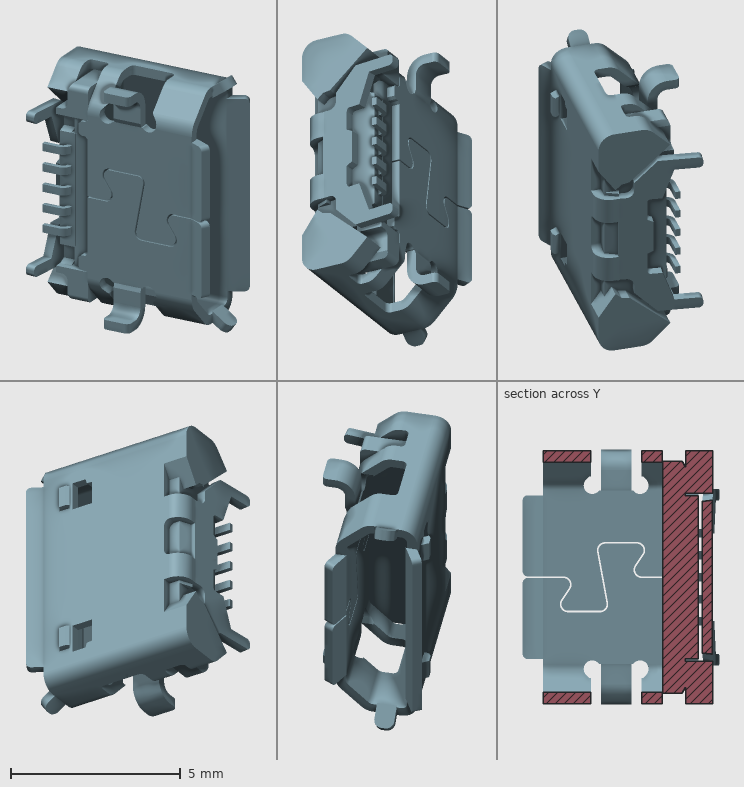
import cadquery as cq
import math


CLEAR = 0.08
OVERLAP = 0.01

SHEET = 0.3
SHELL_LENGTH = 5.015
SHELL_DEPTH = 2.46
HALF_HEIGHT = 3.75
OVERALL_HEIGHT = 8.09
BACK_RADIUS = 0.485
SLOPE_START = (1.53, HALF_HEIGHT)
SLOPE_END = (SHELL_DEPTH, 2.84)
SIDE_CORNER_RADIUS = 0.5
FRONT_CORNER_RADIUS = 0.6
BACK_PLATE_START = 0.785
FRONT_PLATE_START = 1.5

LOBE_LENGTH = 0.81
SLOPE_GRADE = (SLOPE_START[1] - SLOPE_END[1]) / (SLOPE_END[0] - SLOPE_START[0])
LOBE_TIP_DEPTH = 2.2
LOBE_TIP_HEIGHT = HALF_HEIGHT - SLOPE_GRADE * (LOBE_TIP_DEPTH - SLOPE_START[0])

BODY_START = 0.43
BODY_FACE = 2.2
BODY_HALF_HEIGHT = 2.41
WING_START = 0.81
WING_BASE_HEIGHT = 2.62
WING_TOP = 3.42
WING_FACE = 2.435
WING_RADIUS = 0.19
WING_BEVEL = 0.1
LEDGE_DEPTH = 1.62
LEDGE_RADIUS = 0.195
NOTCH_DEPTH = 1.09
NOTCH_RADIUS = 0.12
HEEL_HALF_HEIGHT = 1.505
HEEL_TIP = (0.24, 0.695)
HEEL_END = 0.745
RELIEF_RADIUS = 0.235
RELIEF_RAMP = 0.1
RELIEF_INNER = 1.805

WINDOW_START = 2.11
WINDOW_END = 3.6
WINDOW_DEPTH = 0.88
WINDOW_RADIUS = 0.15
RELIEF_HOLE_RADIUS = 0.25
RELIEF_HOLE_HEIGHT = 2.7
WINDOW_FLARE = 0.15
WINDOW_FLARE_TOP = 3.02
RELIEF_HOLE_INSET = 0.04
LEG_WIDTH = 0.91
LEG_ROOT = 2.56
LEG_FACE_START = 2.685
LEG_PROUD = 0.05
FOOT_DEPTH = 3.2
LEG_INNER_RADIUS = 0.29
LEG_OUTER_RADIUS = LEG_INNER_RADIUS + SHEET
FOOT_CORNER = 0.15

LIP_CORNER = 0.16
SIDE_LIP_CORNER = 0.24
SIDE_LIP_CENTER = 0.91
SIDE_LIP_WIDTH = 0.6
SIDE_LIP_RISE = OVERALL_HEIGHT / 2 - HALF_HEIGHT
SIDE_LIP_ANGLE = 35
BACK_LIP_HALF = 3.06
BACK_LIP_RISE = 0.24
BACK_LIP_ANGLE = 28
FRONT_LIP_HALF = BODY_HALF_HEIGHT
FRONT_LIP_RISE = 0.235
FRONT_LIP_ANGLE = 27

SEAM_WIDTH = 0.05
SEAM_RADIUS = 0.22
SEAM_CENTER = (FRONT_PLATE_START + SHELL_LENGTH) / 2
SEAM_NECK = 0.745
SEAM_HEAD = 1.42
SEAM_FLANK = 0.19
SEAM_HEIGHT = 1.01

COVER_FACE = 0.12
COVER_CREASE = 0.68
COVER_TILT = 7.1
COVER_LENGTH = 2.5
COVER_OVERLAP = 0.03
COVER_LEG_OUTER = 2.605
COVER_LEG_INNER = 2.26
COVER_ARMPIT_DEPTH = 1.12
COVER_RECESS_DEPTH = 1.505
COVER_RECESS_HALF = 1.295
BEND_RADIUS = 0.485
STRAP_INNER = 0.61
STRAP_OUTER = 1.41
NOTCH_CORNER = 0.195
COVER_LEG_END_RADIUS = 0.14
COVER_ARMPIT_RADIUS = 0.24
COVER_RECESS_RADIUS = 0.105

TERMINAL_COUNT = 5
TERMINAL_PITCH = 0.65
TERMINAL_WIDTH = 0.24
TERMINAL_THICKNESS = 0.15
TERMINAL_FACE = 2.51
TERMINAL_BEND_END = 0.83
TERMINAL_INNER_RADIUS = 0.13

SPRING_INNER = 2.055
SPRING_OUTER = 2.71


def block(x_range, depth_range, z_range):
    """Box between two X, two depths below the back face and two Z."""
    (x0, x1), (d0, d1), (z0, z1) = x_range, depth_range, z_range
    return cq.Workplane("XY").box(x1 - x0, d1 - d0, z1 - z0, centered=False).translate((x0, -d1, z0))


def across_x(points, start, end):
    """Closed (depth, height) outline extruded along X."""
    outline = [(-depth, height) for depth, height in points]
    return cq.Workplane("YZ").workplane(offset=start).polyline(outline).close().extrude(end - start)


def across_depth(points, start, end):
    """Closed (x, height) outline extruded from one depth to another."""
    return cq.Workplane("XZ").workplane(offset=start).polyline(points).close().extrude(end - start)


def nearest(x, depth, height):
    """Selector for the edge whose middle is closest to a place."""
    return cq.selectors.NearestToPointSelector((x, -depth, height))


def both_sides(shape):
    return shape.union(shape.mirror("XY"))


def shell_blank(start, end):
    """Outer block of the shell with all its long corners rounded."""
    upper = [(0, HALF_HEIGHT), SLOPE_START, SLOPE_END]
    lower = [(depth, -height) for depth, height in reversed(upper)]
    blank = across_x(upper + lower, start, end)
    blank = blank.edges("|X").edges(">Y").fillet(BACK_RADIUS)
    blank = blank.edges("|X").edges("<Y").fillet(FRONT_CORNER_RADIUS)
    for height in (HALF_HEIGHT, -HALF_HEIGHT):
        blank = blank.edges(nearest((start + end) / 2, SLOPE_START[0], height)).fillet(SIDE_CORNER_RADIUS)
    return blank


def shell_tube():
    tube = shell_blank(0, SHELL_LENGTH).faces("<X or >X").shell(-SHEET)
    strap_end = COVER_FACE + BEND_RADIUS
    rear = block((-CLEAR, strap_end), (-CLEAR, SHELL_DEPTH + CLEAR),
                 (-HALF_HEIGHT - CLEAR, HALF_HEIGHT + CLEAR))
    plate_edge = (strap_end - CLEAR, BACK_PLATE_START)
    plate_depth = (-CLEAR, SHEET + CLEAR)
    between = block(plate_edge, plate_depth, (-STRAP_INNER, STRAP_INNER))
    between = between.edges("|Y and >X").fillet(NOTCH_CORNER)
    beside = block(plate_edge, plate_depth, (STRAP_OUTER, HALF_HEIGHT + CLEAR))
    front = block((-CLEAR, FRONT_PLATE_START), (WINDOW_DEPTH, SHELL_DEPTH + CLEAR),
                  (-LOBE_TIP_HEIGHT, LOBE_TIP_HEIGHT))
    return tube.cut(rear).cut(between).cut(both_sides(beside)).cut(front)


def front_plate_tabs():
    """Locating tabs at the rear edge of the front plate, with 45 degree corners."""
    tip, inner, outer, corner = 1.2, 1.9, 2.355, 0.08
    root = FRONT_PLATE_START + OVERLAP
    outline = [(root, inner - corner), (FRONT_PLATE_START - corner, inner), (tip + corner, inner),
               (tip, inner + corner), (tip, outer - corner), (tip + corner, outer),
               (FRONT_PLATE_START - corner, outer), (root, outer + corner)]
    return both_sides(across_depth(outline, SHELL_DEPTH - SHEET, SHELL_DEPTH))


def rear_lobes():
    """Solid ends of the shell, closing its two sides at the rear."""
    tip = (LOBE_TIP_DEPTH, LOBE_TIP_HEIGHT)
    outline = [(0, HALF_HEIGHT), SLOPE_START, tip, (0.95, 2.01), (0.7, 1.965), (0.52, 1.805), (0, 2.53)]
    lobe = across_x(outline, 0, LOBE_LENGTH)
    return both_sides(lobe.intersect(shell_blank(0, LOBE_LENGTH)))


def wing_notches():
    """Open notch in each side wall that lets the insulator wing out."""
    notch = block((WING_START, FRONT_PLATE_START), (NOTCH_DEPTH, SHELL_DEPTH + CLEAR),
                  (BODY_HALF_HEIGHT, HALF_HEIGHT + CLEAR))
    return both_sides(notch.edges("|Z and >Y").fillet(NOTCH_RADIUS))


def insulator_core():
    """Central body with a corner relief on each side, a groove and a wedge-shaped heel."""
    core = block((BODY_START, FRONT_PLATE_START), (SHEET, BODY_FACE), (-BODY_HALF_HEIGHT, BODY_HALF_HEIGHT))
    relief_floor = BODY_FACE - RELIEF_RADIUS
    pocket = across_x([(BODY_FACE, RELIEF_INNER), (relief_floor, RELIEF_INNER + RELIEF_RAMP),
                       (relief_floor, BODY_HALF_HEIGHT - RELIEF_RAMP), (BODY_FACE, BODY_HALF_HEIGHT)],
                      BODY_START, WING_START)
    shoulder = block((WING_START, WING_START + RELIEF_RADIUS), (relief_floor, BODY_FACE),
                     (RELIEF_INNER, BODY_HALF_HEIGHT))
    rounding = cq.Workplane("XY").workplane(offset=RELIEF_INNER)
    rounding = rounding.center(WING_START + RELIEF_RADIUS, -relief_floor)
    rounding = rounding.circle(RELIEF_RADIUS).extrude(BODY_HALF_HEIGHT - RELIEF_INNER)
    core = core.cut(both_sides(pocket.union(shoulder.cut(rounding))))

    groove_start, groove_width, groove_depth = 0.94, 0.025, 0.04
    groove = block((groove_start, groove_start + groove_width), (BODY_FACE - groove_depth, BODY_FACE + CLEAR),
                   (-RELIEF_INNER, RELIEF_INNER))
    core = core.cut(groove)

    heel = cq.Workplane("XY").workplane(offset=-HEEL_HALF_HEIGHT)
    heel = heel.polyline([(BODY_START, -SHEET), (HEEL_TIP[0], -HEEL_TIP[1]), (BODY_START, -HEEL_END)]).close()
    return core.union(heel.extrude(2 * HEEL_HALF_HEIGHT))


def insulator_wings():
    """Blocks that fill the side notches, each standing on a ledge beside the core."""
    wing = block((WING_START, FRONT_PLATE_START), (SHEET, WING_FACE), (BODY_HALF_HEIGHT, WING_TOP))
    wing = wing.edges("|X and >Z and <Y").fillet(WING_RADIUS)
    bevel = across_depth([(WING_START, WING_TOP), (WING_START + WING_BEVEL, WING_TOP),
                          (WING_START, WING_TOP - WING_RADIUS)], SHEET, WING_FACE)
    wing = wing.cut(bevel)
    inside = shell_blank(0, SHELL_LENGTH).union(wing_notches())
    wing = wing.intersect(inside)

    ledge = block((BODY_START, WING_START), (LEDGE_DEPTH, WING_FACE), (BODY_HALF_HEIGHT, WING_BASE_HEIGHT))
    corner = block((WING_START - LEDGE_RADIUS, WING_START), (LEDGE_DEPTH, WING_FACE),
                   (WING_BASE_HEIGHT, WING_BASE_HEIGHT + LEDGE_RADIUS))
    scoop = cq.Workplane("XZ").workplane(offset=LEDGE_DEPTH)
    scoop = scoop.center(WING_START - LEDGE_RADIUS, WING_BASE_HEIGHT + LEDGE_RADIUS)
    corner = corner.cut(scoop.circle(LEDGE_RADIUS).extrude(WING_FACE - LEDGE_DEPTH))
    return both_sides(wing.union(ledge).union(corner))


def side_windows():
    """Opening through side, slope and front plate that frees each board leg."""
    window = block((WINDOW_START, WINDOW_END), (WINDOW_DEPTH, SHELL_DEPTH + CLEAR),
                   (RELIEF_HOLE_HEIGHT, HALF_HEIGHT + CLEAR))
    window = window.edges("|Z and >Y").fillet(WINDOW_RADIUS)
    first, last = WINDOW_START + RELIEF_HOLE_INSET, WINDOW_END - RELIEF_HOLE_INSET
    holes = cq.Workplane("XZ").workplane(offset=BODY_FACE - SHEET)
    holes = holes.pushPoints([(first, RELIEF_HOLE_HEIGHT), (last, RELIEF_HOLE_HEIGHT)])
    holes = holes.circle(RELIEF_HOLE_RADIUS).extrude(2 * SHEET)
    root_gap = block((first, last), (SHELL_DEPTH - SHEET - CLEAR, SHELL_DEPTH + CLEAR),
                     (LEG_ROOT, RELIEF_HOLE_HEIGHT))
    flare_base = WINDOW_FLARE_TOP - WINDOW_FLARE
    flare = across_depth([(WINDOW_START, WINDOW_FLARE_TOP), (WINDOW_END, WINDOW_FLARE_TOP),
                          (WINDOW_END + WINDOW_FLARE, flare_base), (WINDOW_START - WINDOW_FLARE, flare_base)],
                         BODY_FACE - SHEET, SHELL_DEPTH + CLEAR)
    return both_sides(window.union(holes).union(root_gap).union(flare))


def board_legs():
    """Strips of the front plate bent outwards into flat solder feet."""
    face = SHELL_DEPTH + LEG_PROUD
    back = face - SHEET
    middle = (WINDOW_START + WINDOW_END) / 2
    outline = [(back, LEG_ROOT - OVERLAP), (SHELL_DEPTH, LEG_ROOT - OVERLAP), (SHELL_DEPTH, LEG_ROOT),
               (face, LEG_FACE_START), (face, HALF_HEIGHT - SHEET),
               (FOOT_DEPTH, HALF_HEIGHT - SHEET), (FOOT_DEPTH, HALF_HEIGHT), (back, HALF_HEIGHT)]
    leg = across_x(outline, middle - LEG_WIDTH / 2, middle + LEG_WIDTH / 2)
    leg = leg.edges(nearest(middle, face, HALF_HEIGHT - SHEET)).fillet(LEG_INNER_RADIUS)
    leg = leg.edges(nearest(middle, back, HALF_HEIGHT)).fillet(LEG_OUTER_RADIUS)
    return both_sides(leg.edges("|Z and <Y").fillet(FOOT_CORNER))


def lip(width, rise, angle, corner):
    """Lip flaring towards +Y from the line X = SHELL_LENGTH, Y = 0, centred on Z = 0."""
    length = rise / math.sin(math.radians(angle))
    plate = cq.Workplane("XY").box(length + SHEET, SHEET, width)
    plate = plate.translate(((length - SHEET) / 2, -SHEET / 2, 0))
    plate = plate.edges("|Y and >X").fillet(corner)
    plate = plate.rotate((0, 0, 0), (0, 0, 1), angle)
    plate = plate.translate((SHELL_LENGTH, 0, 0))
    outside = block((SHELL_LENGTH - OVERLAP, 2 * SHELL_LENGTH), (-SHELL_DEPTH, SHELL_DEPTH), (-width, width))
    return plate.intersect(outside)


def mouth_lips():
    back = lip(2 * BACK_LIP_HALF, BACK_LIP_RISE, BACK_LIP_ANGLE, LIP_CORNER)
    half_width = FRONT_LIP_HALF - SEAM_WIDTH / 2
    front = lip(half_width, FRONT_LIP_RISE, FRONT_LIP_ANGLE, LIP_CORNER).mirror("XZ")
    front = front.translate((0, -SHELL_DEPTH, FRONT_LIP_HALF - half_width / 2))
    side = lip(SIDE_LIP_WIDTH, SIDE_LIP_RISE, SIDE_LIP_ANGLE, SIDE_LIP_CORNER)
    side = side.rotate((0, 0, 0), (1, 0, 0), 90)
    side = side.translate((0, -SIDE_LIP_CENTER, HALF_HEIGHT))
    return back.union(both_sides(front.union(side)))


def seam():
    """Narrow dovetail gap where the two halves of the front plate meet."""
    half_length = (SHELL_LENGTH - FRONT_PLATE_START) / 2 + CLEAR
    first_half = [(-half_length, 0), (-SEAM_NECK, 0), (-SEAM_HEAD, SEAM_HEIGHT), (SEAM_FLANK, SEAM_HEIGHT)]
    second_half = [(-x, -z) for x, z in reversed(first_half)]
    points = [cq.Vector(SEAM_CENTER + x, -SHELL_DEPTH - CLEAR, z) for x, z in first_half + second_half]
    path = cq.Wire.makePolygon(points).fillet(SEAM_RADIUS)
    outline = path.offset2D(SEAM_WIDTH / 2)[0]
    return cq.Workplane(cq.Solid.extrudeLinear(outline, [], cq.Vector(0, SHEET + CLEAR, 0)))


def rear_cover():
    """Cover bent down from the back plate on two straps, ending in two board legs."""
    end = COVER_CREASE + COVER_LENGTH
    inner_face = COVER_FACE + SHEET
    top = COVER_CREASE - COVER_OVERLAP
    upper = [(top, 0), (top, STRAP_OUTER), (COVER_ARMPIT_DEPTH, STRAP_OUTER),
             (COVER_ARMPIT_DEPTH, 1.91), (1.82, COVER_LEG_OUTER), (end, COVER_LEG_OUTER),
             (end, COVER_LEG_INNER), (2.31, COVER_LEG_INNER), (1.96, COVER_RECESS_HALF),
             (COVER_RECESS_DEPTH, COVER_RECESS_HALF), (COVER_RECESS_DEPTH, 0.59), (1.69, 0.5), (1.69, 0)]
    plate = across_x(upper, COVER_FACE, inner_face)
    plate = plate.edges("|X and <Y").fillet(COVER_LEG_END_RADIUS)
    middle = COVER_FACE + SHEET / 2
    plate = plate.edges(nearest(middle, COVER_ARMPIT_DEPTH, STRAP_OUTER)).fillet(COVER_ARMPIT_RADIUS)
    plate = plate.edges(nearest(middle, COVER_RECESS_DEPTH, COVER_RECESS_HALF)).fillet(COVER_RECESS_RADIUS)
    plate = both_sides(plate)
    plate = plate.rotate((COVER_FACE, -COVER_CREASE, 0), (COVER_FACE, -COVER_CREASE, 1), -COVER_TILT)

    strap = block((COVER_FACE, inner_face), (BEND_RADIUS, COVER_CREASE), (STRAP_INNER, STRAP_OUTER))
    bend_center = COVER_FACE + BEND_RADIUS
    bend = cq.Workplane("XY").workplane(offset=STRAP_INNER).center(bend_center, -BEND_RADIUS)
    bend = bend.circle(BEND_RADIUS).circle(BEND_RADIUS - SHEET).extrude(STRAP_OUTER - STRAP_INNER)
    quarter = block((COVER_FACE, bend_center), (0, BEND_RADIUS), (STRAP_INNER, STRAP_OUTER))
    return plate.union(both_sides(strap.union(bend.intersect(quarter))))


def terminals():
    """Row of flat solder tails bent down into the insulator."""
    back = TERMINAL_FACE - TERMINAL_THICKNESS
    tail = block((0, TERMINAL_BEND_END), (back, TERMINAL_FACE), (-TERMINAL_WIDTH / 2, TERMINAL_WIDTH / 2))
    stem = block((TERMINAL_BEND_END - TERMINAL_THICKNESS, TERMINAL_BEND_END), (BODY_FACE - OVERLAP, back),
                 (-TERMINAL_WIDTH / 2, TERMINAL_WIDTH / 2))
    terminal = tail.union(stem)
    bend_start = TERMINAL_BEND_END - TERMINAL_THICKNESS
    terminal = terminal.edges(nearest(bend_start, back, 0)).fillet(TERMINAL_INNER_RADIUS)
    terminal = terminal.edges("|Z and >X and <Y").fillet(TERMINAL_INNER_RADIUS + TERMINAL_THICKNESS)
    row = cq.Workplane("XY")
    for index in range(TERMINAL_COUNT):
        height = (index - (TERMINAL_COUNT - 1) / 2) * TERMINAL_PITCH
        row = row.union(terminal.translate((0, 0, height)))
    return row


def latch_springs():
    """Humps on the back plate that grip the plug."""
    hump = [(4.09, -0.08), (4.09, 0), (4.0, 0.15), (4.09, 0.22), (4.32, 0.22), (4.45, 0), (4.45, -0.08)]
    spring = cq.Workplane("XY").workplane(offset=SPRING_INNER).polyline(hump).close()
    return both_sides(spring.extrude(SPRING_OUTER - SPRING_INNER))


def latch_openings():
    outline = [(3.32, 1.98), (4.0, 1.98), (4.0, 2.86), (3.54, 2.86), (3.495, 2.72), (3.32, 2.7)]
    return both_sides(across_depth(outline, -CLEAR, SHEET + CLEAR))


shell = shell_tube().union(rear_lobes()).union(front_plate_tabs())
shell = shell.cut(wing_notches()).cut(side_windows()).cut(latch_openings()).cut(seam())

result = shell.union(insulator_core()).union(insulator_wings())
result = result.union(board_legs()).union(mouth_lips())
result = result.union(rear_cover()).union(terminals()).union(latch_springs())